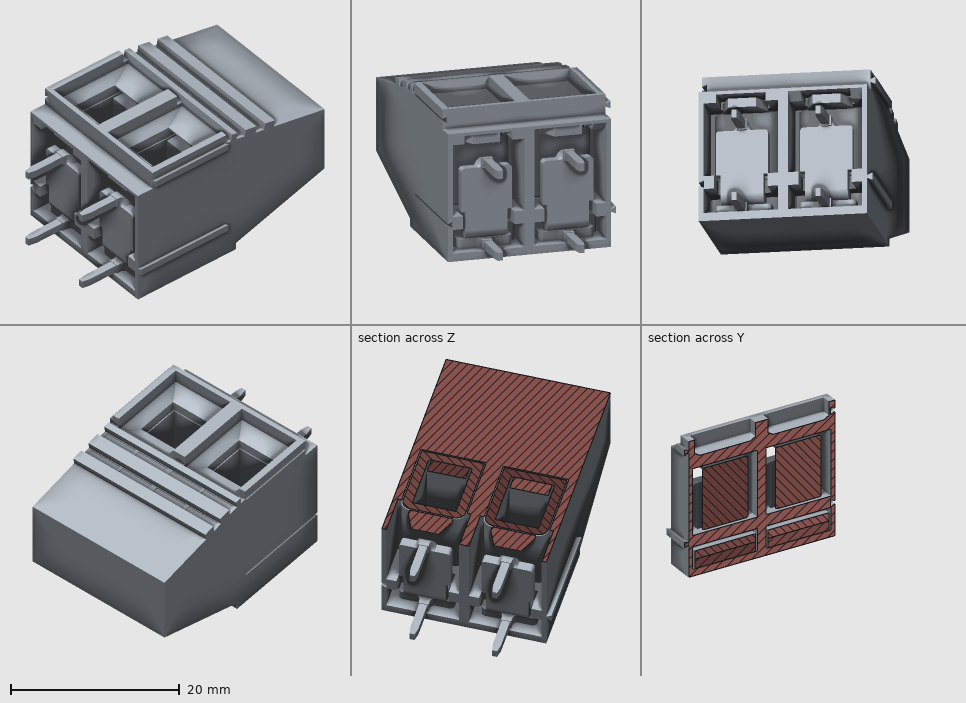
import cadquery as cq
import math

POLES = 2
PITCH = 10.15
HOUSING_WIDTH = 20.3
TOTAL_WIDTH = 20.92
HOUSING_HEIGHT = 18.3
HOUSING_BACK = 33.1
HOUSING_FRONT = 4.65
POLE_CENTRES = [HOUSING_WIDTH / 2 + (i - (POLES - 1) / 2) * PITCH for i in range(POLES)]

FRONT_STEP_HEIGHT = 15.9
RIM_FRONT = 6.85
RIM_BACK = 18.1
FOOT_BACK = 19.6
FOOT_HEIGHT = 0.95
BACK_BOTTOM = 5.43
BACK_TOP = 14.5
ROOF_SLOPE = math.radians(10)
RIB_HEIGHT = 0.9
RIBS = [(25.35, 23.85), (22.57, 20.92), (19.63, 18.85)]

LABEL_DEPTH = 0.1
LABEL_GAP = 0.1
LABELS = [(0.43, 4.85), (5.25, 9.8)]

DOVETAIL_REACH = TOTAL_WIDTH - HOUSING_WIDTH
DOVETAIL_ROOT = 0.35
DOVETAIL_TIP = 0.9
DOVETAIL_BACK = 17.9
DOVETAILS = [(RIM_FRONT, 16.95), (HOUSING_FRONT, 4.55)]

ENTRY_HALF = 4.2
ENTRY_FRONT = 7.48
ENTRY_BACK = RIBS[-1][1]
FUNNEL_TOP = 16.45
FUNNEL_BOTTOM = 15.65
THROAT_HALF = 2.78
THROAT_FRONT = 9.73
THROAT_BACK = 15.7
UNDERCUT_TOP = 15.42

CAGE_WALL = 1.35
CAGE_CORNER = 1.32
CAGE_HALF = 4.0
CAGE_INNER_HALF = CAGE_HALF - CAGE_WALL
CAGE_FRONT = 8.5
CAGE_BACK = 18.2
CAGE_INNER_BACK = CAGE_BACK - CAGE_WALL
CAGE_BOTTOM = 5.73
CAGE_TOP = 14.25
CAGE_EDGE = 0.2

BLOCK_HALF = 2.38
BLOCK_FRONT = 15.05

SHEET = 1.2
LOWER_SHEET_BOTTOM = 1.0
UPPER_SHEET_BOTTOM = LOWER_SHEET_BOTTOM + PITCH
NECK_ROOT_HALF = 0.63
NECK_FRONT = 5.0
PIN_HALF = 0.5
PIN_TIP_HALF = 0.3
PIN_TIP_LENGTH = 1.03
PIN_ROOT_FILLET = 0.6
PLATE_FRONT = 5.43
PLATE_HALF = 3.15
PLATE_CORNER = 0.43
STEM_HALF = 2.58
WING_HALF = 4.25
WING_FRONT = 7.6
WING_BACK = 9.93
WING_CORNER = 0.33
FLARE_STEPS = 6
TONGUE_FRONT = 6.12
TONGUE_HALF = 3.4
TONGUE_CORNER = 0.55
EDGE_MARGIN = 0.03
BEND_RADIUS = 1.15
FOOT_BOTTOM = LOWER_SHEET_BOTTOM + SHEET
FOOT_TOP = FOOT_BOTTOM + SHEET

POCKET_HALF = 4.47
CAGE_CLEARANCE = 0.2
POCKET_BOTTOM = CAGE_BOTTOM - CAGE_CLEARANCE
POCKET_TOP = CAGE_TOP + CAGE_CLEARANCE
POCKET_BACK = THROAT_FRONT
CHANNEL_HALF = 3.2
LOWER_POCKET_TOP = 3.95
SLOT_HALF = 2.98
SLOT_TOP = 15.5
SLOT_BACK = 7.95

TOOTH_FRONT = 5.53
TOOTH_HALF = 2.7
TOOTH_FACE_HALF = 1.7
TOOTH_BEVEL_LENGTH = 2.32
TOOTH_BOTTOM = 14.07
TOOTH_TOP = 15.15


def box(x_centre, half_width, y_range, z_range):
    """Box that is symmetric about x_centre."""
    width = 2 * half_width
    length = y_range[1] - y_range[0]
    height = z_range[1] - z_range[0]
    corner = cq.Vector(x_centre - half_width, y_range[0], z_range[0])
    return cq.Workplane(cq.Solid.makeBox(width, length, height, corner))


def along_x(points, x_start, width):
    """Prism along X with an outline of (y, z) points."""
    return cq.Workplane("YZ").polyline(points).close().extrude(width).translate((x_start, 0, 0))


def roof_height(y):
    return BACK_TOP + (HOUSING_BACK - y) * math.tan(ROOF_SLOPE)


def above_roof(y, height):
    """Point at a distance square to the sloping roof."""
    return (y + height * math.sin(ROOF_SLOPE), roof_height(y) + height * math.cos(ROOF_SLOPE))


def housing_outline():
    points = [
        (HOUSING_FRONT, 0),
        (FOOT_BACK, 0),
        (FOOT_BACK, FOOT_HEIGHT),
        (HOUSING_BACK, BACK_BOTTOM),
        (HOUSING_BACK, BACK_TOP),
    ]
    for rib_back, rib_front in RIBS:
        points += [
            above_roof(rib_back, 0),
            above_roof(rib_back, RIB_HEIGHT),
            above_roof(rib_front, RIB_HEIGHT),
            above_roof(rib_front, 0),
        ]
    points += [
        (RIM_BACK, roof_height(RIBS[-1][1])),
        (RIM_BACK, HOUSING_HEIGHT),
        (RIM_FRONT, HOUSING_HEIGHT),
        (RIM_FRONT, FRONT_STEP_HEIGHT),
        (HOUSING_FRONT, FRONT_STEP_HEIGHT),
    ]
    return points


def dovetail(x_root, y_front, z_centre):
    """Bar along Y that widens towards +X."""
    outline = [
        (x_root, z_centre - DOVETAIL_ROOT / 2),
        (x_root + DOVETAIL_REACH, z_centre - DOVETAIL_TIP / 2),
        (x_root + DOVETAIL_REACH, z_centre + DOVETAIL_TIP / 2),
        (x_root, z_centre + DOVETAIL_ROOT / 2),
    ]
    bar = cq.Workplane("XZ").polyline(outline).close().extrude(y_front - DOVETAIL_BACK)
    return bar.translate((0, y_front, 0))


def label_recesses():
    recesses = cq.Workplane()
    mirrored = [(HOUSING_WIDTH - right, HOUSING_WIDTH - left) for left, right in LABELS]
    for (_, groove_back), (groove_front, _) in zip(RIBS, RIBS[1:]):
        back = groove_back - LABEL_GAP
        front = groove_front + LABEL_GAP
        outline = [
            above_roof(front, -LABEL_DEPTH),
            above_roof(back, -LABEL_DEPTH),
            above_roof(back, LABEL_DEPTH),
            above_roof(front, LABEL_DEPTH),
        ]
        for left, right in LABELS + mirrored:
            recesses = recesses.add(along_x(outline, left, right - left))
    return recesses.combine()


def wire_entry(x):
    """Straight recess, funnel and throat that lead down into the cage."""
    recess = box(x, ENTRY_HALF, (ENTRY_FRONT, ENTRY_BACK), (FUNNEL_TOP, HOUSING_HEIGHT))
    throat = box(x, THROAT_HALF, (THROAT_FRONT, THROAT_BACK), (CAGE_TOP, FUNNEL_BOTTOM))
    undercut = box(x, THROAT_HALF, (THROAT_FRONT, CAGE_INNER_BACK), (CAGE_TOP, UNDERCUT_TOP))
    funnel = (
        cq.Workplane("XY", origin=(x, (ENTRY_FRONT + ENTRY_BACK) / 2, FUNNEL_TOP))
        .rect(2 * ENTRY_HALF, ENTRY_BACK - ENTRY_FRONT)
        .workplane(offset=FUNNEL_BOTTOM - FUNNEL_TOP)
        .center(0, (THROAT_FRONT + THROAT_BACK - ENTRY_FRONT - ENTRY_BACK) / 2)
        .rect(2 * THROAT_HALF, THROAT_BACK - THROAT_FRONT)
        .loft(ruled=True)
    )
    return recess.union(funnel).union(throat).union(undercut)


def front_pockets(x):
    """Openings for the cage, the contact and the lower pin."""
    cage_pocket = box(x, POCKET_HALF, (HOUSING_FRONT, POCKET_BACK), (POCKET_BOTTOM, POCKET_TOP))
    cage_seat = box(x, CAGE_HALF, (HOUSING_FRONT, CAGE_BACK), (CAGE_BOTTOM, CAGE_TOP))
    channel = box(x, CHANNEL_HALF, (HOUSING_FRONT, WING_FRONT), (LOWER_SHEET_BOTTOM, POCKET_BOTTOM))
    lower_pocket = box(x, POCKET_HALF, (HOUSING_FRONT, WING_BACK), (LOWER_SHEET_BOTTOM, LOWER_POCKET_TOP))
    slot = box(x, SLOT_HALF, (HOUSING_FRONT, SLOT_BACK), (POCKET_TOP, SLOT_TOP))
    return cage_pocket.union(cage_seat).union(channel).union(lower_pocket).union(slot)


def sloped_ceiling(x):
    """Wedge that raises the front edge of a cage pocket to the top of its slot."""
    rise = SLOT_TOP - POCKET_TOP
    outline = [
        (HOUSING_FRONT, POCKET_TOP),
        (HOUSING_FRONT + rise, POCKET_TOP),
        (HOUSING_FRONT, SLOT_TOP),
    ]
    return along_x(outline, x - POCKET_HALF, 2 * POCKET_HALF)


def slot_tooth(x):
    """Tooth with bevelled sides, held by the back wall of the slot."""
    bevel_back = TOOTH_FRONT + TOOTH_BEVEL_LENGTH
    outline = [
        (x - TOOTH_FACE_HALF, TOOTH_FRONT),
        (x + TOOTH_FACE_HALF, TOOTH_FRONT),
        (x + TOOTH_HALF, bevel_back),
        (x + TOOTH_HALF, CAGE_FRONT),
        (x - TOOTH_HALF, CAGE_FRONT),
        (x - TOOTH_HALF, bevel_back),
    ]
    tooth = cq.Workplane("XY").polyline(outline).close().extrude(TOOTH_TOP - TOOTH_BOTTOM)
    return tooth.translate((0, 0, TOOTH_BOTTOM))


def make_housing():
    body = along_x(housing_outline(), 0, HOUSING_WIDTH)
    body = body.cut(label_recesses())
    for y_front, z_centre in DOVETAILS:
        body = body.union(dovetail(HOUSING_WIDTH, y_front, z_centre))
        body = body.cut(dovetail(0, y_front, z_centre))
    for x in POLE_CENTRES:
        body = body.cut(front_pockets(x)).cut(wire_entry(x)).union(slot_tooth(x))
    return body.cut(sloped_ceiling(POLE_CENTRES[-1])).union(slot_tooth(POLE_CENTRES[-1]))


def make_cage(x):
    """Square loop around the wire, with rounded upright corners."""
    height = (CAGE_BOTTOM, CAGE_TOP)
    loop = box(x, CAGE_HALF, (CAGE_FRONT, CAGE_BACK), height)
    loop = loop.edges("|Z and <Y").fillet(CAGE_CORNER)
    loop = loop.faces("<Z or >Z").edges().chamfer(CAGE_EDGE)
    opening = box(x, CAGE_INNER_HALF, (THROAT_FRONT, CAGE_INNER_BACK), height)
    return loop.cut(opening)


def make_pressure_block(x):
    """Block at the back of the cage that clamps the wire."""
    return box(x, BLOCK_HALF, (BLOCK_FRONT, CAGE_INNER_BACK), (CAGE_BOTTOM, CAGE_TOP))


def pin(x, sheet_bottom, y_root):
    """Square pin along Y with a tapered tip at y = 0, on the middle of a wider sheet neck."""
    z_middle = sheet_bottom + SHEET / 2
    outline = [
        (x - PIN_HALF, NECK_FRONT),
        (x - PIN_HALF, PIN_TIP_LENGTH),
        (x - PIN_TIP_HALF, 0),
        (x + PIN_TIP_HALF, 0),
        (x + PIN_HALF, PIN_TIP_LENGTH),
        (x + PIN_HALF, NECK_FRONT),
    ]
    shank = cq.Workplane("XY", origin=(0, 0, z_middle)).polyline(outline).close()
    shank = shank.extrude(PIN_HALF, both=True)
    neck = box(x, NECK_ROOT_HALF, (NECK_FRONT, y_root), (sheet_bottom, sheet_bottom + SHEET))
    return shank.union(neck)


def wings(x, z_bottom):
    """Wide sheet at the back of the lower pocket."""
    sheet = box(x, WING_HALF, (WING_FRONT, WING_BACK), (z_bottom, z_bottom + SHEET))
    return sheet.edges("|Z and <Y").chamfer(WING_CORNER)


def make_contact(x):
    """Upright plate with a pin bent out of its top and a foot bent back from its bottom."""
    plate_y = (PLATE_FRONT, PLATE_FRONT + SHEET)
    plate = box(x, PLATE_HALF, plate_y, (CAGE_BOTTOM, UPPER_SHEET_BOTTOM))
    plate = plate.edges("|Y and >Z").fillet(PLATE_CORNER)
    stem = box(x, STEM_HALF, plate_y, (FOOT_BOTTOM, CAGE_BOTTOM))
    stem = stem.edges("|X and <Y and <Z").fillet(BEND_RADIUS)
    foot = box(x, STEM_HALF, (plate_y[1], WING_FRONT), (FOOT_BOTTOM, FOOT_TOP))
    contact = plate.union(stem).union(foot).union(wings(x, FOOT_BOTTOM))
    return contact.union(pin_bend(x)).union(pin(x, UPPER_SHEET_BOTTOM, PLATE_FRONT))


def pin_bend(x):
    """Quarter bend from the plate to the upper pin, flared evenly towards the plate."""
    root_half = NECK_ROOT_HALF + PIN_ROOT_FILLET

    def point(x_offset, angle):
        y = PLATE_FRONT + SHEET * math.cos(angle)
        z = UPPER_SHEET_BOTTOM + SHEET * math.sin(angle)
        return cq.Vector(x + x_offset, y, z)

    def axis_point(x_offset):
        return cq.Vector(x + x_offset, PLATE_FRONT, UPPER_SHEET_BOTTOM)

    def outer_edge(side):
        angles = [math.pi / 2 * i / FLARE_STEPS for i in range(FLARE_STEPS + 1)]
        offsets = [root_half - PIN_ROOT_FILLET * math.sin(angle) for angle in angles]
        return cq.Edge.makeSpline([point(side * w, a) for w, a in zip(offsets, angles)])

    def flat_face(corners):
        return cq.Face.makeFromWires(cq.Wire.makePolygon(corners, close=True))

    sides = [-1, 1]
    flanks = [
        cq.Face.makeRuledSurface(
            cq.Edge.makeLine(axis_point(side * root_half), axis_point(side * NECK_ROOT_HALF)),
            outer_edge(side),
        )
        for side in sides
    ]
    outside = cq.Face.makeRuledSurface(outer_edge(-1), outer_edge(1))
    bottom = flat_face([
        point(-root_half, 0),
        axis_point(-root_half),
        axis_point(-NECK_ROOT_HALF),
        axis_point(NECK_ROOT_HALF),
        axis_point(root_half),
        point(root_half, 0),
    ])
    front = flat_face([
        axis_point(-NECK_ROOT_HALF),
        point(-NECK_ROOT_HALF, math.pi / 2),
        point(NECK_ROOT_HALF, math.pi / 2),
        axis_point(NECK_ROOT_HALF),
    ])
    shell = cq.Shell.makeShell([*flanks, outside, bottom, front])
    return cq.Workplane(cq.Solid.makeSolid(shell).fix())


def make_lower_pin(x):
    """Flat sheet under the contact foot, with a pin on its rounded tongue."""
    height = (LOWER_SHEET_BOTTOM, FOOT_BOTTOM)
    tongue = box(x, TONGUE_HALF, (TONGUE_FRONT, WING_FRONT), height)
    tongue = tongue.edges("|Z and <Y").fillet(TONGUE_CORNER)
    body = tongue.union(pin(x, LOWER_SHEET_BOTTOM, TONGUE_FRONT)).union(wings(x, LOWER_SHEET_BOTTOM))
    root = cq.selectors.BoxSelector(
        (x - 2 * NECK_ROOT_HALF, TONGUE_FRONT - EDGE_MARGIN, 0),
        (x + 2 * NECK_ROOT_HALF, TONGUE_FRONT + EDGE_MARGIN, FOOT_TOP),
    )
    return body.edges("|Z").edges(root).fillet(PIN_ROOT_FILLET)


solids = [make_housing().val()]
for centre in POLE_CENTRES:
    solids.append(make_cage(centre).val())
    solids.append(make_pressure_block(centre).val())
    solids.append(make_contact(centre).val())
    solids.append(make_lower_pin(centre).val())
result = cq.Compound.makeCompound(solids)